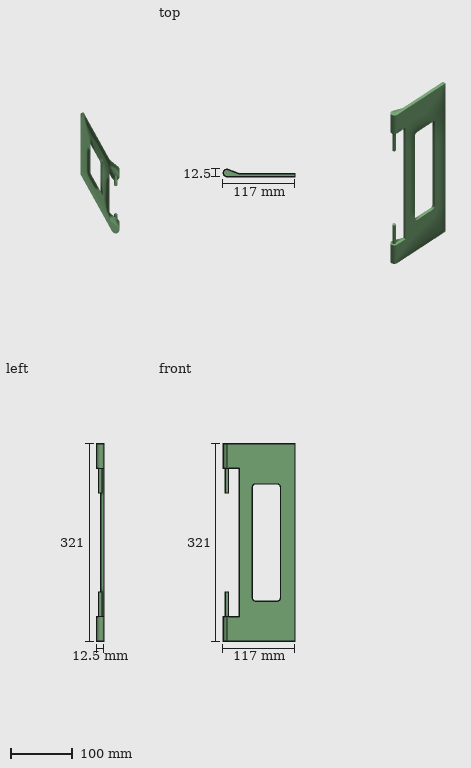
import cadquery as cq
import math

height = 321.0
width = 117.0
depth = 12.5
plate_thickness = 5.5

barrel_diameter = 12.2
barrel_radius = barrel_diameter / 2
barrel_x = barrel_radius
barrel_y = depth - barrel_radius
barrel_length = 40.0

front_flat_start_x = 4.2
front_flat_end_x = 6.0
taper_end_x = 25.0

pin_diameter = 5.8
pin_length = 40.0

notch_depth = 26.0

window_left = 47.5
window_width = 45.3
window_height = 190.0
window_corner_radius = 5.0


def barrel_point(angle):
    """Point on the barrel circle at an angle measured from +X."""
    return (
        barrel_x + barrel_radius * math.cos(angle),
        barrel_y + barrel_radius * math.sin(angle),
    )


def plate_with_barrels():
    """Full-height extrusion: round barrel, back taper, front flat, then plate."""
    run = taper_end_x - barrel_x
    rise = plate_thickness - barrel_y
    back_angle = math.atan2(rise, run) + math.acos(barrel_radius / math.hypot(run, rise))
    front_angle = -math.acos((front_flat_start_x - barrel_x) / barrel_radius)
    return (
        cq.Workplane("XY")
        .moveTo(front_flat_end_x, 0)
        .lineTo(width, 0)
        .lineTo(width, plate_thickness)
        .lineTo(taper_end_x, plate_thickness)
        .lineTo(*barrel_point(back_angle))
        .threePointArc(barrel_point(math.pi), barrel_point(front_angle))
        .close()
        .extrude(height)
    )


def notch():
    """Clearance that splits the hinge edge into two barrels."""
    return (
        cq.Workplane("XY")
        .workplane(offset=barrel_length)
        .rect(notch_depth, depth, centered=False)
        .extrude(height - 2 * barrel_length)
    )


def window():
    """Rounded opening through the plate."""
    return (
        cq.Workplane("XY")
        .box(window_width, plate_thickness, window_height)
        .edges("|Y")
        .fillet(window_corner_radius)
        .translate((window_left + window_width / 2, plate_thickness / 2, height / 2))
    )


def pin(base_z):
    """Round pin on the barrel axis, starting at base_z."""
    return (
        cq.Workplane("XY")
        .workplane(offset=base_z)
        .center(barrel_x, barrel_y)
        .circle(pin_diameter / 2)
        .extrude(pin_length)
    )


result = plate_with_barrels().cut(notch()).cut(window())
for pin_base in (barrel_length, height - barrel_length - pin_length):
    result = result.union(pin(pin_base))